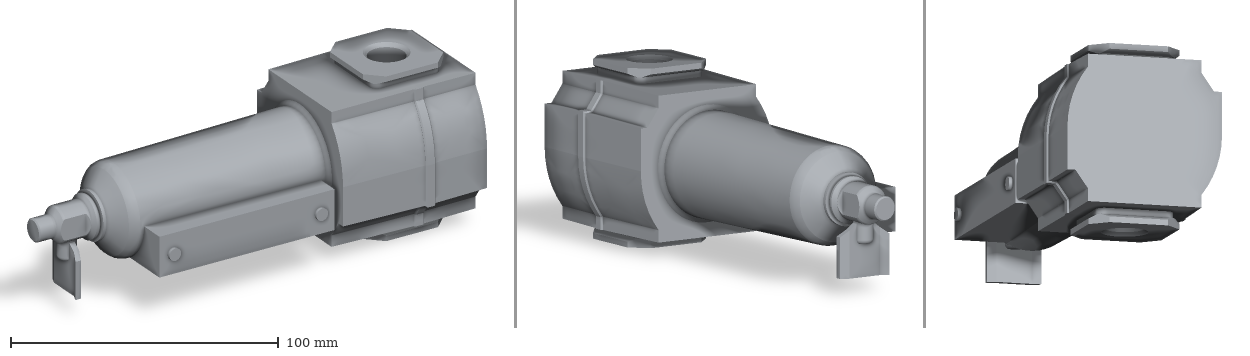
import cadquery as cq
import math


overall_length = 181.5
head_rear_y = 25.2
head_front_y = -38.3
head_draft = 0.7
head_half_height = 28.3
shoulder_x = 22.5
shoulder_z = 23.2
cheek_x = 30.5
cheek_z = 16.7
ledge_x = 27.2
band_height = 0.64
band_width = 4.4
band_chamfer = 0.5

overall_height = 68.0
port_face_z = overall_height / 2
flange_half = 17.8
flange_corner = 6.4
flange_edge = 2.2
neck_half = 15.0
neck_top_z = 30.5
neck_root = 1.8
neck_corner_radius = 3.3
port_radius = 7.5
port_chamfer = 1.5
port_depth = 14.5

collar_radius = 22.3
collar_length = 1.6
bowl_top_radius = 20.5
bowl_bottom_radius = 19.0
bowl_bottom_y = -123.2
bowl_bottom_fillet = 5.0
outlet_radius = 10.2
outlet_y = -130.1
bowl_end_y = -131.5

gauge_top_y = -42.0
gauge_bottom_y = -119.2
gauge_face_x = 29.8
gauge_height = 16.9
screw_radius = 2.5
screw_head = 1.36
screw_inset = 6.2

drain_flange_radius = 9.0
drain_flange_fillet = 1.5
drain_cone_y = -133.8
stem_radius = 7.5
stem_start_y = -135.2
stem_end_y = -146.3
stem_end_fillet = 1.5
stem_flat_x = 6.0
tip_radius = 4.7
tip_start_y = -149.0
tip_end_y = head_rear_y - overall_length
tip_chamfer = 0.5
tip_base_fillet = 0.7

lever_y = -141.4
lever_thickness = 2.4
lever_half_width = 10.2
lever_fold_x = 6.9
lever_offset = 1.36
lever_bottom_z = -27.8
lever_corner_z = -12.0
lever_slope = 0.75
peg_radius = 3.8
peg_end_z = -15.0
peg_fillet = 1.6


def revolve_about_y(points):
    """Solid of revolution about the Y axis from (y, radius) points."""
    return cq.Workplane("YZ").polyline(points).close().revolve(360, (0, 0), (1, 0))


def fillet_ring(body, y, radius):
    """Fillet the circular edge of a solid of revolution whose centre is at the given y."""
    return body.edges(cq.selectors.NearestToPointSelector((0, y, 0))).fillet(radius)


def head_outline(plane):
    """Section of the head: two half turns of the same cheek, on a plane facing along Y."""
    bulge = cheek_x - shoulder_x
    arc_radius = (bulge**2 + shoulder_z**2) / (2 * bulge)
    half_angle = math.asin(shoulder_z / arc_radius) / 2
    arc_mid_x = cheek_x - arc_radius * (1 - math.cos(half_angle))
    arc_mid_z = arc_radius * math.sin(half_angle)
    outline = plane.moveTo(-shoulder_x, head_half_height)
    for side in (1, -1):
        outline = (
            outline.lineTo(side * shoulder_x, side * head_half_height)
            .lineTo(side * shoulder_x, side * shoulder_z)
            .threePointArc((side * arc_mid_x, side * arc_mid_z), (side * cheek_x, 0))
            .lineTo(side * cheek_x, -side * cheek_z)
            .lineTo(side * ledge_x, -side * cheek_z)
            .lineTo(side * shoulder_x, -side * shoulder_z)
            .lineTo(side * shoulder_x, -side * head_half_height)
        )
    return outline.close()


def make_port():
    """Top port: square neck and octagonal flange with a bevelled underside."""
    neck_bottom_z = head_half_height - neck_root
    bevel_top_z = port_face_z - flange_edge
    bevel_angle = math.degrees(math.atan2(flange_half - neck_half, bevel_top_z - neck_top_z))
    neck = (
        cq.Workplane("XY").workplane(offset=neck_bottom_z)
        .rect(2 * neck_half, 2 * neck_half)
        .extrude(neck_top_z - neck_bottom_z)
        .edges("|Z").fillet(neck_corner_radius)
    )
    bevel = (
        cq.Workplane("XY").workplane(offset=neck_top_z)
        .rect(2 * neck_half, 2 * neck_half)
        .extrude(bevel_top_z - neck_top_z, taper=-bevel_angle)
    )
    edge = (
        cq.Workplane("XY").workplane(offset=bevel_top_z)
        .rect(2 * flange_half, 2 * flange_half)
        .extrude(flange_edge)
    )
    octagon = (
        cq.Workplane("XY").workplane(offset=neck_top_z)
        .rect(2 * flange_half, 2 * flange_half)
        .extrude(port_face_z - neck_top_z)
        .edges("|Z").chamfer(flange_corner)
    )
    return bevel.union(edge).intersect(octagon).union(neck)


def make_port_hole():
    """Blind, countersunk hole of the top port."""
    mouth_radius = port_radius + port_chamfer
    return (
        cq.Workplane("XZ")
        .moveTo(0, port_face_z)
        .lineTo(mouth_radius, port_face_z)
        .lineTo(port_radius, port_face_z - port_chamfer)
        .lineTo(port_radius, port_face_z - port_depth)
        .lineTo(0, port_face_z - port_depth)
        .close()
        .revolve(360, (0, 0), (0, 1))
    )


def make_head_half(length):
    """Half of the head, drafted from the parting plane towards -Y."""
    return head_outline(cq.Workplane("XZ")).extrude(length, taper=head_draft)


def make_head():
    front = make_head_half(-head_front_y)
    rear = make_head_half(head_rear_y).mirror("XZ")
    band_half_height = head_half_height - band_width / 2 * math.tan(math.radians(head_draft))
    slab = cq.Workplane("XY").box(4 * cheek_x, band_width, 2 * band_half_height)
    band = (
        head_outline(cq.Workplane("XZ", origin=(0, band_width / 2, 0)))
        .offset2D(band_height, "intersection")
        .extrude(band_width)
        .faces("|Y").chamfer(band_chamfer)
        .intersect(slab)
    )
    head = front.union(rear).union(band)
    port = make_port()
    hole = make_port_hole()
    for angle in (0, 180):
        head = head.union(port.rotate((0, 0, 0), (0, 1, 0), angle))
        head = head.cut(hole.rotate((0, 0, 0), (0, 1, 0), angle))
    return head


def make_bowl():
    collar_end_y = head_front_y - collar_length
    shell = revolve_about_y([
        (head_front_y, 0),
        (head_front_y, collar_radius),
        (collar_end_y, bowl_top_radius),
        (bowl_bottom_y, bowl_bottom_radius),
        (outlet_y, outlet_radius),
        (bowl_end_y, outlet_radius),
        (bowl_end_y, 0),
    ])
    shell = fillet_ring(shell, bowl_bottom_y, bowl_bottom_fillet)
    gauge = cq.Workplane("XY").box(
        gauge_face_x, gauge_top_y - gauge_bottom_y, gauge_height, centered=False
    ).translate((0, gauge_bottom_y, -gauge_height))
    bowl = shell.union(gauge)
    for y in (gauge_top_y - screw_inset, gauge_bottom_y + screw_inset):
        screw = (
            cq.Workplane("YZ", origin=(gauge_face_x, y, -gauge_height / 2))
            .circle(screw_radius).extrude(screw_head)
        )
        bowl = bowl.union(screw)
    return bowl


def make_lever():
    """Folded thumb plate hanging from a peg below the stem."""
    half = lever_thickness / 2
    folded = (
        cq.Workplane("XY", origin=(0, 0, lever_bottom_z))
        .moveTo(-lever_half_width, lever_y + lever_offset + half)
        .lineTo(-lever_fold_x, lever_y + half)
        .lineTo(lever_fold_x, lever_y + half)
        .lineTo(lever_half_width, lever_y - lever_offset + half)
        .lineTo(lever_half_width, lever_y - lever_offset - half)
        .lineTo(lever_fold_x, lever_y - half)
        .lineTo(-lever_fold_x, lever_y - half)
        .lineTo(-lever_half_width, lever_y + lever_offset - half)
        .close()
        .extrude(-lever_bottom_z)
    )
    peak_z = lever_corner_z + lever_slope * lever_half_width
    face = (
        cq.Workplane("XZ", origin=(0, lever_y, 0))
        .moveTo(-lever_half_width, lever_bottom_z)
        .lineTo(lever_half_width, lever_bottom_z)
        .lineTo(lever_half_width, lever_corner_z)
        .lineTo(0, peak_z)
        .lineTo(-lever_half_width, lever_corner_z)
        .close()
        .extrude(lever_half_width, both=True)
    )
    peg = (
        cq.Workplane("XY", origin=(0, lever_y, peg_end_z))
        .circle(peg_radius).extrude(-peg_end_z)
        .faces("<Z").fillet(peg_fillet)
    )
    return folded.intersect(face).union(peg)


def make_drain():
    flange = revolve_about_y([
        (bowl_end_y, 0),
        (bowl_end_y, drain_flange_radius),
        (drain_cone_y, drain_flange_radius),
        (stem_start_y, stem_radius),
        (stem_start_y, 0),
    ])
    flange = fillet_ring(flange, bowl_end_y, drain_flange_fillet)
    stem = revolve_about_y([
        (stem_start_y, 0),
        (stem_start_y, stem_radius),
        (stem_end_y, stem_radius),
        (tip_start_y, tip_radius),
        (tip_start_y, 0),
    ])
    stem = fillet_ring(stem, stem_end_y, stem_end_fillet)
    flat_start_y = stem_start_y - (stem_radius - stem_flat_x)
    flats = (
        cq.Workplane("XY")
        .moveTo(-stem_radius, stem_start_y)
        .lineTo(stem_radius, stem_start_y)
        .lineTo(stem_flat_x, flat_start_y)
        .lineTo(stem_flat_x, tip_start_y)
        .lineTo(-stem_flat_x, tip_start_y)
        .lineTo(-stem_flat_x, flat_start_y)
        .close()
        .extrude(stem_radius, both=True)
    )
    tip = revolve_about_y([
        (tip_start_y, 0),
        (tip_start_y, tip_radius),
        (tip_end_y + tip_chamfer, tip_radius),
        (tip_end_y, tip_radius - tip_chamfer),
        (tip_end_y, 0),
    ])
    spindle = fillet_ring(stem.intersect(flats).union(tip), tip_start_y, tip_base_fillet)
    return flange.union(spindle).union(make_lever())


head = make_head()
bowl = make_bowl()
drain = make_drain()

result = cq.Compound.makeCompound([head.val(), bowl.val(), drain.val()])